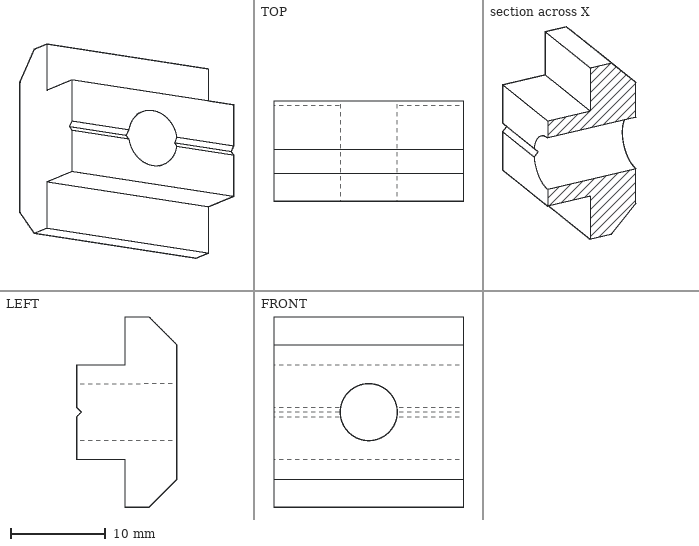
import cadquery as cq

length = 20.0
flange_height = 20.1
flange_thickness = 5.5
stem_height = 10.0
stem_depth = 5.1

chamfer = 2.95
notch_depth = 0.5
hole_diameter = 6.0

front_y = -flange_thickness
back_y = stem_depth


def make_body():
    """T-shaped profile with chamfered flange edges and a V notch, extruded along X."""
    half_flange = flange_height / 2
    half_stem = stem_height / 2
    upper_half = [
        (front_y, half_flange - chamfer),
        (front_y + chamfer, half_flange),
        (0, half_flange),
        (0, half_stem),
        (back_y, half_stem),
        (back_y, notch_depth),
    ]
    notch_bottom = (back_y - notch_depth, 0)
    lower_half = [(y, -z) for y, z in reversed(upper_half)]
    profile = upper_half + [notch_bottom] + lower_half
    return cq.Workplane("YZ").polyline(profile).close().extrude(length / 2, both=True)


def make_hole():
    """Round cutter along Y through the full depth of the nut."""
    cutter = cq.Workplane("XZ", origin=(0, back_y, 0)).circle(hole_diameter / 2)
    return cutter.extrude(flange_thickness + stem_depth)


result = make_body().cut(make_hole())